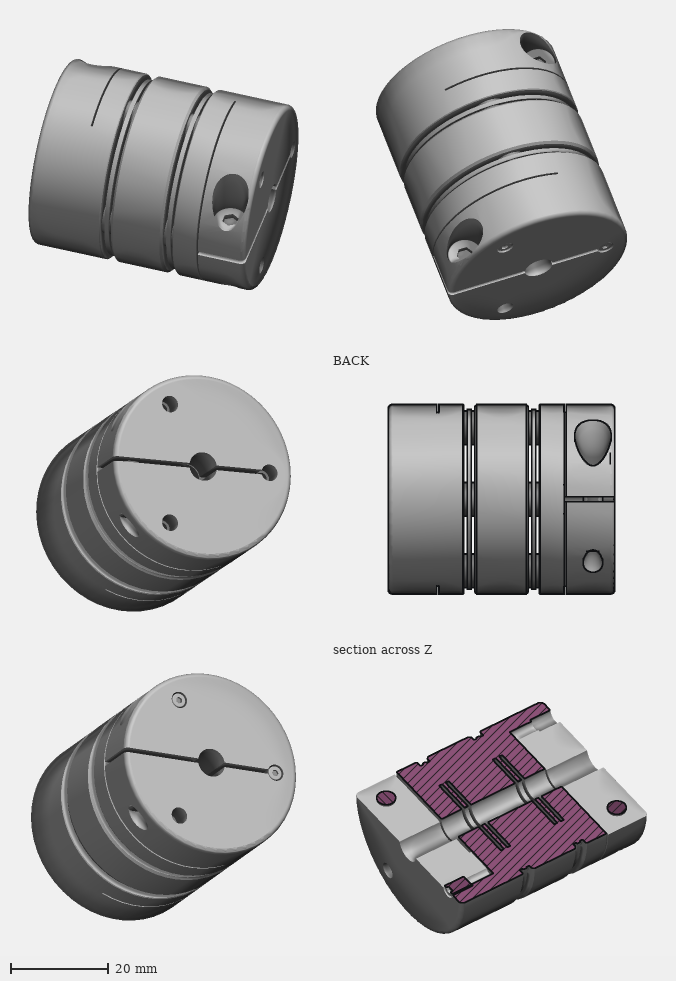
import cadquery as cq
import math


length = 46.6
outer_diameter = 39.0
bore_diameter = 6.0

hub_length = 15.5
spacer_length = 11.0
disc_thickness = 0.9
gap_length = (length - 2 * hub_length - spacer_length) / 2
washer_thickness = (gap_length - disc_thickness) / 2

disc_diameter = 37.0
washer_diameter = 7.0
washer_count = 4
bolt_circle_radius = 14.7
spacer_chamfer = 0.45
hub_chamfer = 0.2
hub_end_fillet = (outer_diameter - disc_diameter) / 2

slit_width = 1.0
cross_cut_start = 10.0
cross_cut_width = 0.4
cross_cut_end = cross_cut_start + cross_cut_width
cross_cut_overrun = 7.75

axial_circle_radius = 14.55
axial_hole_angles = (60, 180, 300)
axial_hole_diameter = 3.5
axial_hole_depth = 5.0
pilot_diameter = 2.45

set_screw_diameter = 3.0
set_screw_sockets = ((60, 30), (180, 0))
set_screw_recess = 0.2
set_screw_fillet = 0.2
set_screw_hex_flats = 1.25
set_screw_hex_depth = 0.55
set_screw_length = axial_hole_depth - set_screw_recess

clamp_offset = 14.5
clamp_inset = 4.5
shank_diameter = 4.0
shank_length = 13.15
head_diameter = 7.0
head_height = 4.0
head_fillet = 0.25
head_seat_height = 2.5
counterbore_diameter = 7.5
clamp_hex_flats = 3.0
clamp_hex_depth = 1.1


def x_cylinder(diameter, start, span, y=0.0, z=0.0):
    """Cylinder along +X that begins at x = start."""
    return cq.Workplane("YZ", origin=(start, y, z)).circle(diameter / 2).extrude(span)


def z_cylinder(diameter, start, span, x, y):
    """Cylinder along +Z that begins at z = start."""
    return cq.Workplane("XY", origin=(x, y, start)).circle(diameter / 2).extrude(span)


def on_circle(radius, angle):
    """Y and Z of a place on a circle about the axis, with the angle measured from +Y toward +Z."""
    turn = math.radians(angle)
    return radius * math.cos(turn), radius * math.sin(turn)


def hex_diagonal(across_flats):
    return across_flats / math.cos(math.radians(30))


def turned_about_z(shape):
    """The same shape at the other end of the coupling."""
    return shape.rotate((0, 0, 0), (0, 0, 1), 180)


left_face = -length / 2
hub_inner_face = left_face + hub_length
clamp_x = left_face + clamp_inset


def make_hub():
    """Left clamp hub, with its slit open toward +Y."""
    hub = x_cylinder(outer_diameter, left_face, hub_length)
    hub = hub.faces("<X").edges().fillet(hub_end_fillet)
    hub = hub.faces(">X").edges().chamfer(hub_chamfer)
    hub = hub.cut(x_cylinder(bore_diameter, left_face, hub_length))

    slit = cq.Workplane("XY").box(
        cross_cut_end, axial_circle_radius + outer_diameter / 2, slit_width, centered=(False, False, True)
    )
    hub = hub.cut(slit.translate((left_face, -axial_circle_radius, 0)))

    cross_cut = cq.Workplane("XY").box(
        cross_cut_width, cross_cut_overrun + outer_diameter / 2, outer_diameter, centered=(False, False, True)
    )
    hub = hub.cut(cross_cut.translate((left_face + cross_cut_start, -cross_cut_overrun, 0)))

    for angle in axial_hole_angles:
        y, z = on_circle(axial_circle_radius, angle)
        hub = hub.cut(x_cylinder(axial_hole_diameter, left_face, axial_hole_depth, y, z))
        hub = hub.cut(x_cylinder(pilot_diameter, left_face, cross_cut_end, y, z))

    shank_hole = z_cylinder(shank_diameter, -outer_diameter / 2, outer_diameter, clamp_x, clamp_offset)
    counterbore = z_cylinder(
        counterbore_diameter, head_seat_height, outer_diameter / 2, clamp_x, clamp_offset
    )
    return hub.cut(shank_hole).cut(counterbore)


def make_disc_pack():
    """Left disc with the washers on both of its sides."""
    pack = x_cylinder(disc_diameter, hub_inner_face + washer_thickness, disc_thickness)
    pack = pack.cut(x_cylinder(bore_diameter, hub_inner_face, gap_length))
    for i in range(washer_count):
        y, z = on_circle(bolt_circle_radius, i * 360 / washer_count)
        pack = pack.union(x_cylinder(washer_diameter, hub_inner_face, gap_length, y, z))
    return pack


def make_spacer():
    spacer = x_cylinder(outer_diameter, -spacer_length / 2, spacer_length)
    spacer = spacer.edges().chamfer(spacer_chamfer)
    return spacer.cut(x_cylinder(bore_diameter, -spacer_length / 2, spacer_length))


def make_coupling_body():
    hub = make_hub()
    disc_pack = make_disc_pack()
    body = make_spacer().union(disc_pack).union(turned_about_z(disc_pack))
    return body.union(hub).union(turned_about_z(hub))


def make_clamp_screw():
    """Socket head screw of the left hub, with its head up."""
    head = z_cylinder(head_diameter, head_seat_height, head_height, clamp_x, clamp_offset)
    head = head.faces(">Z").edges().fillet(head_fillet)
    socket = (
        cq.Workplane("XY", origin=(clamp_x, clamp_offset, head_seat_height + head_height))
        .transformed(rotate=(0, 0, 90))
        .polygon(6, hex_diagonal(clamp_hex_flats))
        .extrude(-clamp_hex_depth)
    )
    shank = z_cylinder(
        shank_diameter, head_seat_height - shank_length, shank_length, clamp_x, clamp_offset
    )
    return head.union(shank).cut(socket)


def make_set_screw(angle, socket_turn):
    """Set screw that stands on the step of the axial hole at the given angle."""
    y, z = on_circle(axial_circle_radius, angle)
    tip = left_face + set_screw_recess
    screw = x_cylinder(set_screw_diameter, tip, set_screw_length, y, z)
    screw = screw.faces("<X").edges().fillet(set_screw_fillet)
    socket = (
        cq.Workplane("YZ", origin=(tip, y, z))
        .transformed(rotate=(0, 0, socket_turn))
        .polygon(6, hex_diagonal(set_screw_hex_flats))
        .extrude(set_screw_hex_depth)
    )
    return screw.cut(socket)


coupling_body = make_coupling_body()
left_clamp_screw = make_clamp_screw()
clamp_screws = [left_clamp_screw, turned_about_z(left_clamp_screw)]
set_screws = [make_set_screw(angle, turn) for angle, turn in set_screw_sockets]

result = cq.Compound.makeCompound([
    coupling_body.val(),
    *[screw.val() for screw in clamp_screws],
    *[screw.val() for screw in set_screws],
])